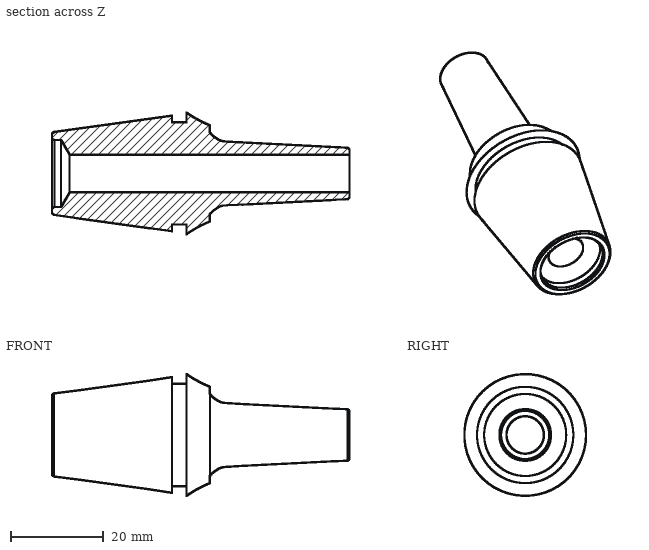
import cadquery as cq
import math

length = 64.0
edge_chamfer = 0.4
cone_end = 25.85
groove_end = 28.9
collar_end = 34.0
neck_line_start = 34.95
neck_line_end = 35.5
spigot_start = 37.25

socket_end_radius = 8.95
cone_radius = 12.5
groove_radius = 11.1
collar_radius = 13.1
collar_end_radius = 10.4
collar_hollow = 0.16
neck_root_radius = 8.8
neck_line_start_radius = 7.9
neck_line_end_radius = 7.5
spigot_radius = 6.9
spigot_end_radius = 5.6

bore_radius = 4.0
socket_radius = 7.2
mouth_chamfer = 0.25
mouth_chamfer_depth = 0.5
socket_depth = 2.0
countersink_half_angle = 60.0


def collar_middle():
    """Middle of the collar flank, sunk below the straight chord to make it concave."""
    run = collar_end - groove_end
    drop = collar_radius - collar_end_radius
    chord = math.hypot(run, drop)
    x = groove_end + run / 2 - collar_hollow * drop / chord
    radius = (collar_radius + collar_end_radius) / 2 - collar_hollow * run / chord
    return x, radius


def revolve_about_x(profile):
    return profile.close().revolve(360, (0, 0, 0), (1, 0, 0))


def make_body():
    neck_slope = (neck_line_end - neck_line_start, neck_line_end_radius - neck_line_start_radius)
    backward_slope = (-neck_slope[0], -neck_slope[1])
    neck_root_arc = cq.Edge.makeTangentArc(
        cq.Vector(neck_line_start, neck_line_start_radius),
        cq.Vector(*backward_slope),
        cq.Vector(collar_end, neck_root_radius),
    )
    neck_root_middle = neck_root_arc.positionAt(0.5)
    profile = (
        cq.Workplane("XY")
        .lineTo(0, socket_end_radius - edge_chamfer)
        .lineTo(edge_chamfer, socket_end_radius)
        .lineTo(cone_end, cone_radius)
        .lineTo(cone_end, groove_radius)
        .lineTo(groove_end, groove_radius)
        .lineTo(groove_end, collar_radius)
        .threePointArc(collar_middle(), (collar_end, collar_end_radius))
        .lineTo(collar_end, neck_root_radius)
        .threePointArc(
            (neck_root_middle.x, neck_root_middle.y),
            (neck_line_start, neck_line_start_radius),
        )
        .lineTo(neck_line_end, neck_line_end_radius)
        .tangentArcPoint((spigot_start, spigot_radius), relative=False)
        .lineTo(length - edge_chamfer, spigot_end_radius)
        .lineTo(length, spigot_end_radius - edge_chamfer)
        .lineTo(length, 0)
    )
    return revolve_about_x(profile)


def make_bore():
    countersink_depth = (socket_radius - bore_radius) / math.tan(math.radians(countersink_half_angle))
    profile = (
        cq.Workplane("XY")
        .lineTo(0, socket_radius + mouth_chamfer)
        .lineTo(mouth_chamfer_depth, socket_radius)
        .lineTo(socket_depth, socket_radius)
        .lineTo(socket_depth + countersink_depth, bore_radius)
        .lineTo(length, bore_radius)
        .lineTo(length, 0)
    )
    return revolve_about_x(profile)


result = make_body().cut(make_bore())